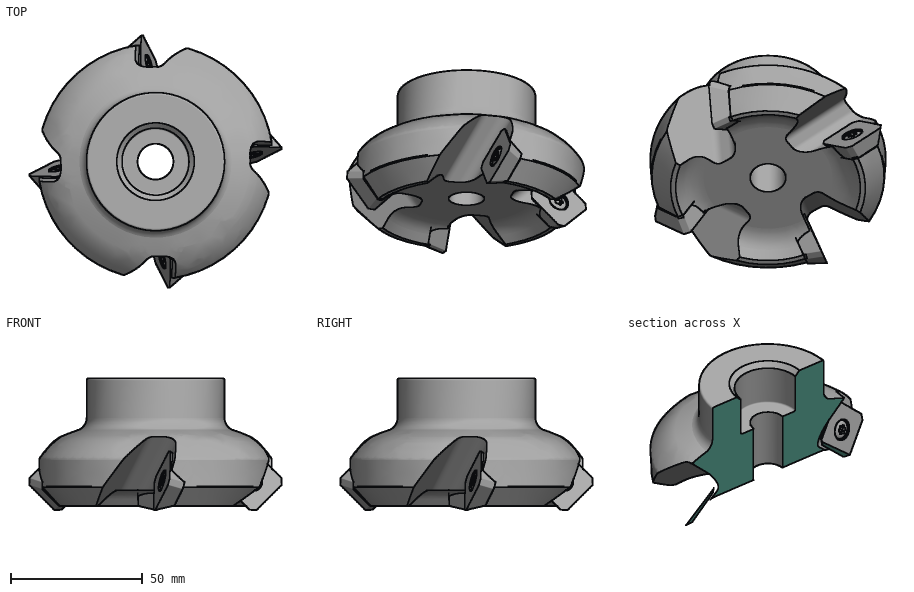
import cadquery as cq
import math

hub_diameter = 52.39
hub_top_z = 50.01
hub_edge_round = 0.85
hub_base_z = 35.0
neck_arc_radius = 5.0
dome_top_radius = 28.8
dome_top_z = 30.6
dome_mid_radius = 39.9
dome_mid_z = 25.2
dome_low_radius = 44.3
dome_low_z = 20.1
dome_top_slope = -0.33
rim_radius = 44.7
rim_z = 18.9
band_bottom_radius = 44.2
band_bottom_z = 9.1
cone_top_radius = 44.0
cone_top_z = 8.6
body_bottom_z = 1.5
body_bottom_radius = cone_top_radius - (cone_top_z - body_bottom_z)

bore_diameter = 25.41
bore_chamfer = 2.0
bore_floor_z = 31.8
bore_floor_fillet = 0.7
through_diameter = 13.5
recess_mouth_radius = 35.0
recess_cone_angle = 45.0
recess_cone_top_z = 4.4
recess_cone_run = (recess_cone_top_z - body_bottom_z) / math.tan(math.radians(recess_cone_angle))
recess_cone_top_radius = recess_mouth_radius - recess_cone_run
recess_ceiling_z = 7.6

insert_count = 4
cutter_radius = 95.72 / 2
insert_side = 18.2
insert_corner_cut = 1.8
insert_edge_round = 0.4
insert_corner_trim = 0.075
insert_thickness = 6.8
insert_clearance = 20.0
axial_slope = math.tan(math.radians(15.0))
radial_slope = math.tan(math.radians(13.5))
rake_offset = -9.3

screw_hole_diameter = 8.1
screw_hole_depth = 0.7
screw_head_diameter = 7.2
screw_crown_diameter = 4.5
screw_dome_radius = 2.0
socket_depth = 1.5
socket_lobes = 6
socket_lobe_diameter = 1.0
socket_lobe_circle = 2.7

insert_stand_out = 0.8
gullet_floor_offset = 3.1
gullet_floor_width = 9.2
gullet_wall_angle = 52.0
gullet_fillet = 4.0
gullet_depth = 40.0
gullet_length = 120.0


def make_rake_plane():
    """Plane of the +X insert's rake face: x along the lead edge, y inward and up, origin mid-insert."""
    normal = cq.Vector(radial_slope, -1, axial_slope).normalized()
    lead = cq.Vector(1, radial_slope + axial_slope, 1).normalized()
    inward = normal.cross(lead)
    half_lead = insert_side / 2 - insert_corner_cut
    mid_radius = cutter_radius - half_lead * lead.x + insert_corner_trim
    mid_z = half_lead * lead.z - insert_corner_trim
    mid_y = rake_offset + axial_slope * mid_z + radial_slope * mid_radius
    center = cq.Vector(mid_radius, mid_y, mid_z) + inward * (insert_side / 2)
    return cq.Plane(origin=center, xDir=lead, normal=normal)


rake_plane = make_rake_plane()


def make_insert_blank():
    """Square plate with cut corners, tapering away from the rake face."""
    slanted = "not(#Z)"
    return (
        cq.Workplane("XY")
        .rect(insert_side, insert_side)
        .extrude(-insert_thickness, taper=insert_clearance)
        .edges(slanted)
        .chamfer(insert_corner_cut)
        .edges(slanted)
        .fillet(insert_edge_round)
    )


def make_screw_recess():
    """Ring-shaped hollow around the domed screw head, with the six-lobe socket in its crown."""
    hole = cq.Workplane("XY").circle(screw_hole_diameter / 2).extrude(-screw_hole_depth)
    head = (
        cq.Workplane("XZ")
        .moveTo(0, -screw_hole_depth)
        .lineTo(screw_head_diameter / 2, -screw_hole_depth)
        .radiusArc((screw_crown_diameter / 2, 0), -screw_dome_radius)
        .lineTo(0, 0)
        .close()
        .revolve(360, (0, 0, 0), (0, 1, 0))
    )
    socket = cq.Workplane("XY").circle(socket_lobe_circle / 2).extrude(-socket_depth)
    lobes = (
        cq.Workplane("XY")
        .polarArray(socket_lobe_circle / 2, 0, 360, socket_lobes)
        .circle(socket_lobe_diameter / 2)
        .extrude(-socket_depth)
    )
    return hole.cut(head).union(socket.union(lobes))


def make_gullet():
    """V-shaped prism along the lead edge, with rounded floor corners."""
    floor_y = insert_side / 2 + gullet_floor_offset
    face_z = -insert_stand_out
    wall_z = face_z + gullet_floor_width
    mouth_y = floor_y - gullet_depth
    mouth_wall_z = wall_z + gullet_depth / math.tan(math.radians(gullet_wall_angle))
    return (
        cq.Workplane("YZ")
        .polyline([(mouth_y, face_z), (floor_y, face_z), (floor_y, wall_z), (mouth_y, mouth_wall_z)])
        .close()
        .extrude(gullet_length / 2, both=True)
        .edges("|X and >Y")
        .fillet(gullet_fillet)
    )


def make_body_blank():
    """Turned body: hub, neck, dome, rim band and lower cone, with its bore and underside recess."""
    hub_radius = hub_diameter / 2
    bore_radius = bore_diameter / 2
    through_radius = through_diameter / 2
    recess_arc_rise = recess_ceiling_z - recess_cone_top_z
    recess_arc_run = recess_arc_rise / math.tan(math.radians(recess_cone_angle / 2))
    recess_ceiling_radius = recess_cone_top_radius - recess_arc_run
    return (
        cq.Workplane("XZ")
        .moveTo(through_radius, bore_floor_z)
        .lineTo(bore_radius - bore_floor_fillet, bore_floor_z)
        .radiusArc((bore_radius, bore_floor_z + bore_floor_fillet), -bore_floor_fillet)
        .lineTo(bore_radius, hub_top_z - bore_chamfer)
        .lineTo(bore_radius + bore_chamfer, hub_top_z)
        .lineTo(hub_radius - hub_edge_round, hub_top_z)
        .radiusArc((hub_radius, hub_top_z - hub_edge_round), hub_edge_round)
        .lineTo(hub_radius, hub_base_z)
        .radiusArc((dome_top_radius, dome_top_z), -neck_arc_radius)
        .spline(
            [(dome_mid_radius, dome_mid_z), (dome_low_radius, dome_low_z), (rim_radius, rim_z)],
            tangents=[(1, dome_top_slope), (0, -1)],
            includeCurrent=True,
        )
        .lineTo(band_bottom_radius, band_bottom_z)
        .lineTo(cone_top_radius, cone_top_z)
        .lineTo(body_bottom_radius, body_bottom_z)
        .lineTo(recess_mouth_radius, body_bottom_z)
        .lineTo(recess_cone_top_radius, recess_cone_top_z)
        .tangentArcPoint((recess_ceiling_radius, recess_ceiling_z), relative=False)
        .lineTo(through_radius, recess_ceiling_z)
        .close()
        .revolve(360, (0, 0, 0), (0, 1, 0))
    )


def place_at(part, index):
    """Move a part from rake-plane coordinates to the given insert position around Z."""
    on_rake = part.val().moved(rake_plane.location)
    return on_rake.rotate(cq.Vector(0, 0, 0), cq.Vector(0, 0, 1), index * 360 / insert_count)


insert_blank = make_insert_blank()
insert = insert_blank.cut(make_screw_recess())
gullet = make_gullet()

body = make_body_blank()
inserts = []
for position in range(insert_count):
    body = body.cut(cq.Workplane(place_at(gullet, position)))
    body = body.cut(cq.Workplane(place_at(insert_blank, position)))
    inserts.extend(place_at(insert, position).Solids())

result = cq.Compound.makeCompound([*body.solids().vals(), *inserts])